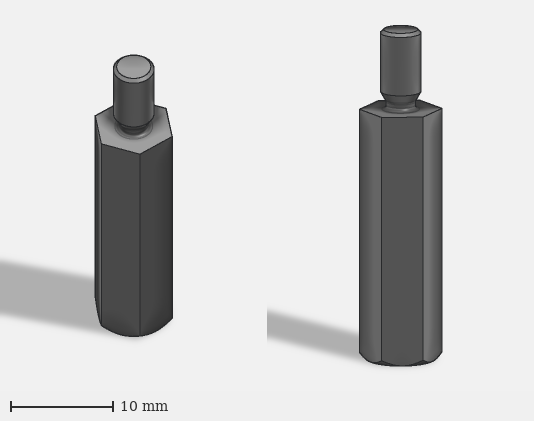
import cadquery as cq
import math

total_length = 33.0
across_flats = 7.0
stud_length = 8.0
stud_diameter = 4.0
stud_tip_diameter = 3.33
neck_diameter = 2.9
undercut_length = 1.78
undercut_fillet = 0.4
undercut_cone_angle = 30.0
foot_diameter = 6.93
foot_chamfer_angle = 45.0

body_length = total_length - stud_length
across_corners = across_flats / math.cos(math.radians(30))
stud_radius = stud_diameter / 2
neck_radius = neck_diameter / 2


def hex_body():
    """Hexagonal bar with two corners on X and a conically chamfered lower end."""
    bar = cq.Workplane("XY").polygon(6, across_corners).extrude(body_length)
    foot_radius = foot_diameter / 2
    corner_radius = across_corners / 2
    chamfer_height = (corner_radius - foot_radius) * math.tan(math.radians(foot_chamfer_angle))
    envelope = (
        cq.Workplane("XZ")
        .lineTo(foot_radius, 0)
        .lineTo(corner_radius, chamfer_height)
        .lineTo(corner_radius, body_length)
        .lineTo(0, body_length)
        .close()
        .revolve(360, (0, 0), (0, 1))
    )
    return bar.intersect(envelope)


def stud():
    """Revolved stud with a chamfered tip and a filleted undercut at its root."""
    angle = math.radians(undercut_cone_angle)
    tip_radius = stud_tip_diameter / 2
    tip_chamfer = stud_radius - tip_radius
    thread_start = body_length + undercut_length

    root_radius = neck_radius + undercut_fillet
    neck_bottom = body_length + undercut_fillet
    root_arc_offset = undercut_fillet * (1 - math.sin(math.radians(45)))

    cone_start_radius = neck_radius + undercut_fillet * (1 - math.cos(angle))
    cone_start = thread_start - (stud_radius - cone_start_radius) / math.tan(angle)
    neck_top = cone_start - undercut_fillet * math.sin(angle)
    cone_arc_mid = (
        neck_radius + undercut_fillet * (1 - math.cos(angle / 2)),
        neck_top + undercut_fillet * math.sin(angle / 2),
    )

    return (
        cq.Workplane("XZ")
        .moveTo(0, body_length)
        .lineTo(root_radius, body_length)
        .threePointArc(
            (neck_radius + root_arc_offset, body_length + root_arc_offset),
            (neck_radius, neck_bottom),
        )
        .lineTo(neck_radius, neck_top)
        .threePointArc(cone_arc_mid, (cone_start_radius, cone_start))
        .lineTo(stud_radius, thread_start)
        .lineTo(stud_radius, total_length - tip_chamfer)
        .lineTo(tip_radius, total_length)
        .lineTo(0, total_length)
        .close()
        .revolve(360, (0, 0), (0, 1))
    )


result = hex_body().union(stud())